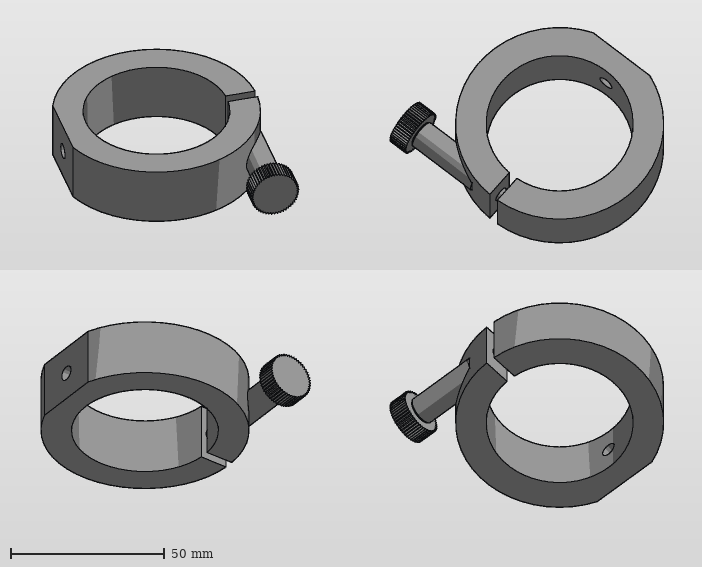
import cadquery as cq
import math

TOTAL_LENGTH = 75.85

RING_RADIUS = 34.0
BORE_RADIUS = 24.0
RING_HEIGHT = 19.95
FLAT_Y = -31.8
GAP_WIDTH = 3.2
FLAT_HOLE_DIAMETER = 5.0

AXIS_Y = 28.4
ROD_DIAMETER = 5.0
SLEEVE_DIAMETER = 9.55
SLEEVE_START_X = 10.5
HUB_LENGTH = 0.4
HUB_DIAMETER = 8.9
KNOB_DIAMETER = 16.0
KNOB_LENGTH = 6.4
KNOB_END_X = TOTAL_LENGTH - RING_RADIUS
KNOB_START_X = KNOB_END_X - KNOB_LENGTH
SLEEVE_END_X = KNOB_START_X - HUB_LENGTH
ROD_START_X = -SLEEVE_START_X

KNURL_COUNT = 50
KNURL_DEPTH = 0.5
KNURL_ANGLE = 5.8


def x_plane(x):
    """Plane facing +X whose origin lies on the screw axis."""
    return cq.Workplane("YZ", origin=(x, AXIS_Y, 0))


def x_cylinder(start_x, end_x, diameter):
    """Cylinder on the screw axis between two X positions."""
    return x_plane(start_x).circle(diameter / 2).extrude(end_x - start_x)


def half_block(width):
    """Block of the ring's height that runs from Y = 0 to Y = RING_RADIUS."""
    return cq.Workplane("XY").box(width, RING_RADIUS, RING_HEIGHT, centered=(True, False, True))


def make_rod():
    """Screw rod that bridges the gap and butts against the sleeve."""
    return x_cylinder(ROD_START_X, SLEEVE_START_X, ROD_DIAMETER)


def make_sleeve():
    """Sleeve that starts in a seat in the ring and ends at the knob hub."""
    return x_cylinder(SLEEVE_START_X, SLEEVE_END_X, SLEEVE_DIAMETER)


def make_knob():
    """Knurled disc with a short hub that rests on the sleeve."""
    ridge_radius = KNOB_DIAMETER / 2
    valley_radius = ridge_radius - KNURL_DEPTH
    half_pitch = math.pi / KNURL_COUNT
    outline = []
    for corner in range(2 * KNURL_COUNT):
        radius = ridge_radius if corner % 2 else valley_radius
        angle = math.radians(KNURL_ANGLE) + corner * half_pitch
        outline.append((radius * math.cos(angle), radius * math.sin(angle)))
    disc = x_plane(KNOB_START_X).polyline(outline).close().extrude(KNOB_LENGTH)
    hub = x_cylinder(SLEEVE_END_X, KNOB_START_X, HUB_DIAMETER)
    return disc.union(hub)


def make_ring(rod, sleeve):
    """Split ring with a flat, a hole through the flat, and seats for the rod and sleeve."""
    ring = (
        cq.Workplane("XY", origin=(0, 0, -RING_HEIGHT / 2))
        .circle(RING_RADIUS)
        .circle(BORE_RADIUS)
        .extrude(RING_HEIGHT)
    )
    below_flat = half_block(2 * RING_RADIUS).translate((0, FLAT_Y - RING_RADIUS, 0))
    gap = half_block(GAP_WIDTH)
    flat_hole = cq.Workplane("XZ").circle(FLAT_HOLE_DIAMETER / 2).extrude(RING_RADIUS)
    return ring.cut(below_flat).cut(gap).cut(flat_hole).cut(rod).cut(sleeve)


rod = make_rod()
sleeve = make_sleeve()
knob = make_knob()
ring = make_ring(rod, sleeve)

result = cq.Compound.makeCompound([ring.val(), rod.val(), sleeve.val(), knob.val()])